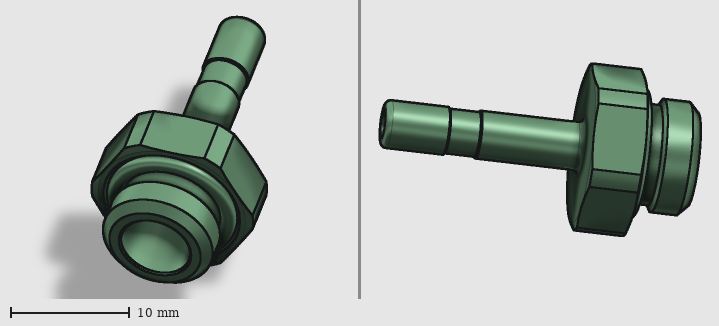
import cadquery as cq
import math

TOTAL_LENGTH = 26.5

COLLAR_RADIUS = 4.82
COLLAR_CHAMFER = 0.82
COLLAR_END = 3.0
NECK_RADIUS = 4.27
NECK_START = 3.3

HEX_ACROSS_FLATS = 13.0
HEX_CORNER_RADIUS = 7.09
HEX_FRONT = 5.0
HEX_BACK = 9.51
HEX_FACE_RADIUS = 6.47
HEX_CHAMFER_ANGLE = 15.0

STEM_RADIUS = 2.05
STEM_FILLET = 0.5
GROOVE_RADIUS = 1.9
GROOVE_START = 18.35
GROOVE_END = 21.15
GROOVE_TAPER = 0.13

RING_SECTION_RADIUS = 0.72
RING_CENTER_RADIUS = NECK_RADIUS + RING_SECTION_RADIUS
RING_CENTER_Y = 5.11
RECESS_MOUTH_RADIUS = 6.0
RECESS_FLOOR_RADIUS = RING_CENTER_RADIUS + RING_SECTION_RADIUS
RECESS_FLOOR_Y = RING_CENTER_Y + RING_SECTION_RADIUS

BORE_RADIUS = 3.02
BORE_CHAMFER = 0.15
BORE_DEPTH = 6.35
PASSAGE_RADIUS = 1.25
DRILL_POINT_ANGLE = 118.0


def revolve_profile(profile):
    """Revolve a closed (radius, Y) profile a full turn about the Y axis."""
    return profile.close().revolve(360, (0, 0, 0), (0, 1, 0))


def make_collar():
    """Chamfered collar and neck, running into the hexagon as far as the recess floor."""
    return revolve_profile(
        cq.Workplane("XY")
        .moveTo(0, 0)
        .lineTo(COLLAR_RADIUS - COLLAR_CHAMFER, 0)
        .lineTo(COLLAR_RADIUS, COLLAR_CHAMFER)
        .lineTo(COLLAR_RADIUS, COLLAR_END)
        .lineTo(NECK_RADIUS, NECK_START)
        .lineTo(NECK_RADIUS, RECESS_FLOOR_Y)
        .lineTo(0, RECESS_FLOOR_Y)
    )


def make_hexagon():
    """Hexagon with corners on X, trimmed by a cylinder chamfered at both ends."""
    across_corners = HEX_ACROSS_FLATS / math.cos(math.radians(30))
    prism = (
        cq.Workplane("XZ", origin=(0, HEX_FRONT, 0))
        .polygon(6, across_corners)
        .extrude(HEX_FRONT - HEX_BACK)
    )
    chamfer = (HEX_CORNER_RADIUS - HEX_FACE_RADIUS) * math.tan(math.radians(HEX_CHAMFER_ANGLE))
    envelope = revolve_profile(
        cq.Workplane("XY")
        .moveTo(0, HEX_FRONT)
        .lineTo(HEX_FACE_RADIUS, HEX_FRONT)
        .lineTo(HEX_CORNER_RADIUS, HEX_FRONT + chamfer)
        .lineTo(HEX_CORNER_RADIUS, HEX_BACK - chamfer)
        .lineTo(HEX_FACE_RADIUS, HEX_BACK)
        .lineTo(0, HEX_BACK)
    )
    return prism.intersect(envelope)


def make_ring_recess():
    """Annular cutter around the neck with a tapered outer wall."""
    return revolve_profile(
        cq.Workplane("XY")
        .moveTo(NECK_RADIUS, HEX_FRONT)
        .lineTo(RECESS_MOUTH_RADIUS, HEX_FRONT)
        .lineTo(RECESS_FLOOR_RADIUS, RECESS_FLOOR_Y)
        .lineTo(NECK_RADIUS, RECESS_FLOOR_Y)
    )


def make_stem():
    """Stem with a flared root, a retaining groove and a rounded tip."""
    arc_offset = STEM_FILLET * (1 - math.sqrt(0.5))
    tip_inner_radius = STEM_RADIUS - STEM_FILLET
    return revolve_profile(
        cq.Workplane("XY")
        .moveTo(0, HEX_BACK)
        .lineTo(STEM_RADIUS + STEM_FILLET, HEX_BACK)
        .threePointArc(
            (STEM_RADIUS + arc_offset, HEX_BACK + arc_offset),
            (STEM_RADIUS, HEX_BACK + STEM_FILLET),
        )
        .lineTo(STEM_RADIUS, GROOVE_START)
        .lineTo(GROOVE_RADIUS, GROOVE_START + GROOVE_TAPER)
        .lineTo(GROOVE_RADIUS, GROOVE_END - GROOVE_TAPER)
        .lineTo(STEM_RADIUS, GROOVE_END)
        .lineTo(STEM_RADIUS, TOTAL_LENGTH - STEM_FILLET)
        .threePointArc(
            (STEM_RADIUS - arc_offset, TOTAL_LENGTH - arc_offset),
            (tip_inner_radius, TOTAL_LENGTH),
        )
        .lineTo(0, TOTAL_LENGTH)
    )


def make_bore():
    """Chamfered blind bore with a drill point, leading into the narrow through passage."""
    point_length = (BORE_RADIUS - PASSAGE_RADIUS) / math.tan(math.radians(DRILL_POINT_ANGLE / 2))
    return revolve_profile(
        cq.Workplane("XY")
        .moveTo(0, 0)
        .lineTo(BORE_RADIUS + BORE_CHAMFER, 0)
        .lineTo(BORE_RADIUS, BORE_CHAMFER)
        .lineTo(BORE_RADIUS, BORE_DEPTH)
        .lineTo(PASSAGE_RADIUS, BORE_DEPTH + point_length)
        .lineTo(PASSAGE_RADIUS, TOTAL_LENGTH)
        .lineTo(0, TOTAL_LENGTH)
    )


def make_fitting():
    """Complete one-piece fitting."""
    hexagon = make_hexagon().cut(make_ring_recess())
    return hexagon.union(make_collar()).union(make_stem()).cut(make_bore())


def make_sealing_ring():
    """Round-section ring seated in the recess around the neck."""
    return (
        cq.Workplane("XY")
        .center(RING_CENTER_RADIUS, RING_CENTER_Y)
        .circle(RING_SECTION_RADIUS)
        .revolve(360, (-RING_CENTER_RADIUS, 0, 0), (-RING_CENTER_RADIUS, 1, 0))
    )


fitting = make_fitting()
sealing_ring = make_sealing_ring()

result = cq.Compound.makeCompound([fitting.val(), sealing_ring.val()])